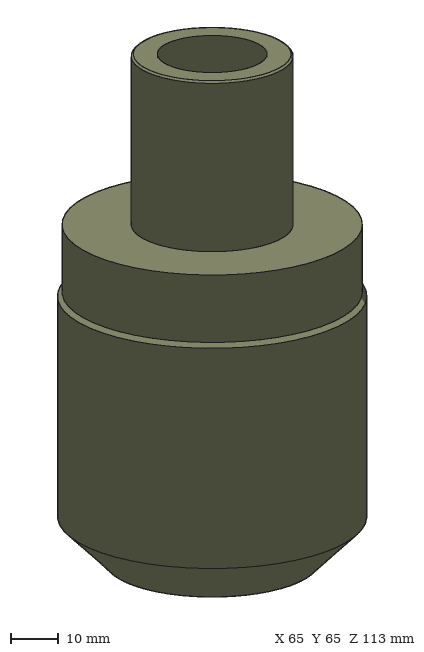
import cadquery as cq

total_height = 113.0
shoulder_height = 75.0
collar_base_height = 60.0

body_diameter = 65.0
collar_diameter = 63.0
tube_diameter = 34.0
bore_diameter = 23.0

nose_chamfer = 10.0
tube_chamfer = 0.5

body_height = collar_base_height - (body_diameter - collar_diameter) / 2


def cylinder(diameter, height):
    """Upright cylinder standing on the bottom plane."""
    return cq.Workplane("XY").circle(diameter / 2).extrude(height)


body = (
    cylinder(body_diameter, collar_base_height)
    .faces("<Z").chamfer(nose_chamfer)
    .faces(">Z").chamfer(collar_base_height - body_height)
)

collar = cylinder(collar_diameter, shoulder_height - body_height).translate((0, 0, body_height))

tube = cylinder(tube_diameter, total_height).faces(">Z").chamfer(tube_chamfer)

bore = cylinder(bore_diameter, total_height)

result = body.union(collar).union(tube).cut(bore)